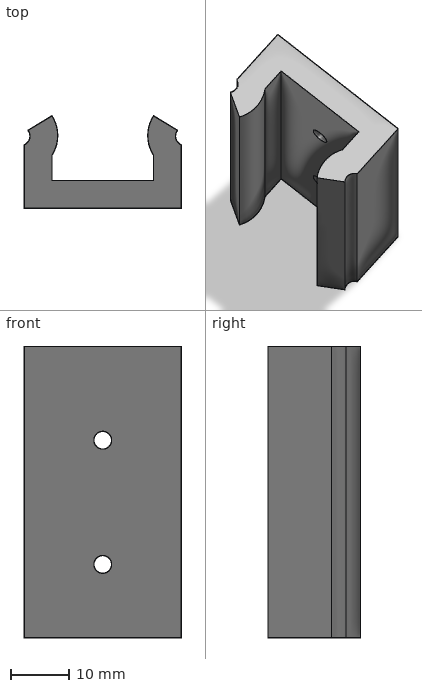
import cadquery as cq
import math

width = 27.0
depth = 15.9
length = 50.0
wall = 4.8

grip_start = 9.1
grip_bulge = 1.0

tip_slope = 31.0
groove_radius = 1.6
groove_y = 12.4
groove_offset = 0.6

hole_diameter = 3.0
lower_hole_z = 12.6
hole_spacing = 21.3

half_width = width / 2
inner_x = half_width - wall
groove_x = half_width + groove_offset


def make_channel():
    """Straight U-shaped channel whose side walls carry convex grips."""
    block = cq.Workplane("XY").rect(width, depth).extrude(length).translate((0, depth / 2, 0))
    cavity = (
        cq.Workplane("XY")
        .moveTo(-inner_x, wall)
        .lineTo(inner_x, wall)
        .lineTo(inner_x, grip_start)
        .threePointArc((inner_x - grip_bulge, (grip_start + depth) / 2), (inner_x, depth))
        .lineTo(-inner_x, depth)
        .threePointArc((grip_bulge - inner_x, (grip_start + depth) / 2), (-inner_x, grip_start))
        .close()
        .extrude(length)
    )
    return block.cut(cavity)


def make_tip_cut(side):
    """Material removed above the sloping tip and the groove of one side wall."""
    slope_drop = wall * math.tan(math.radians(tip_slope))
    slope = (
        cq.Workplane("XY")
        .polyline([
            (side * inner_x, depth),
            (side * half_width, depth),
            (side * half_width, depth - slope_drop),
        ])
        .close()
        .extrude(length)
    )
    groove = cq.Workplane("XY").center(side * groove_x, groove_y).circle(groove_radius).extrude(length)
    return slope.union(groove)


def make_hole(z):
    """Round hole through the floor at height z."""
    return (
        cq.Workplane("XZ")
        .center(0, z)
        .circle(hole_diameter / 2)
        .extrude(-wall)
    )


result = make_channel()
for side in (-1, 1):
    result = result.cut(make_tip_cut(side))
for hole_z in (lower_hole_z, lower_hole_z + hole_spacing):
    result = result.cut(make_hole(hole_z))